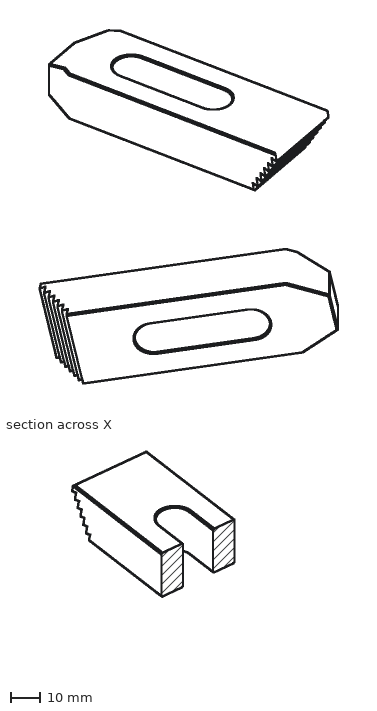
import cadquery as cq
import math

length = 100.0
width = 32.0
height = 19.0

taper_angle = math.radians(30)
nose_width = 16.0
nose_height = 13.0

edge_break = 0.5
heel_round = 1.0
mouth_angle = 45

slot_width = 13.0
slot_length = 47.0
slot_center_x = 46.0

tooth_count = 6
tooth_pitch_z = 2.7
row_angle = math.radians(30)
steep_flank_angle = math.radians(10)
undercut_angle = math.radians(15)
first_tip_z = 16.0

half_width = width / 2
half_nose = nose_width / 2
side_taper_length = (half_width - half_nose) / math.tan(taper_angle)
top_taper_length = (height - nose_height) / math.tan(taper_angle)

tooth_pitch_x = tooth_pitch_z * math.tan(row_angle)

steep_slope = math.tan(steep_flank_angle)
undercut_slope = math.tan(undercut_angle)
tooth_depth = (tooth_pitch_x + tooth_pitch_z * steep_slope) / (1 - undercut_slope * steep_slope)

slab_size = 4 * length

taper_sin = math.sin(taper_angle)
taper_cos = math.cos(taper_angle)
top = (cq.Vector(0, 0, 1), cq.Vector(0, 0, height))
bottom = (cq.Vector(0, 0, -1), cq.Vector(0, 0, 0))
nose = (cq.Vector(-1, 0, 0), cq.Vector(0, 0, 0))
nose_slope = (cq.Vector(-taper_sin, 0, taper_cos), cq.Vector(0, 0, nose_height))


def side_face(side):
    """Long side wall; side is +1 or -1 for the +Y or -Y wall."""
    return cq.Vector(0, side, 0), cq.Vector(0, side * half_width, 0)


def taper_face(side):
    """Angled side flat of the nose."""
    return cq.Vector(-taper_sin, side * taper_cos, 0), cq.Vector(0, side * half_nose, 0)


def make_block():
    """Plan outline with the tapered nose, cut by the sloped top of the nose."""
    plan = [
        (0, -half_nose),
        (side_taper_length, -half_width),
        (length, -half_width),
        (length, half_width),
        (side_taper_length, half_width),
        (0, half_nose),
    ]
    block = cq.Workplane("XY").polyline(plan).close().extrude(height)
    slope = [(0, nose_height), (top_taper_length, height), (0, height)]
    wedge = cq.Workplane("XZ").polyline(slope).close().extrude(half_width, both=True)
    return block.cut(wedge)


def chamfer_between(body, first, second):
    """Slice off the convex edge where two flat faces meet, square to their bisector."""
    normal_sum = first[0] + second[0]
    normal = normal_sum.normalized()
    half_turn = first[0].getAngle(second[0]) / 2
    setback = edge_break * math.tan(half_turn)
    edge_distance = (first[0].dot(first[1]) + second[0].dot(second[1])) / normal_sum.Length
    cut_distance = edge_distance - setback * math.sin(half_turn)
    plane = cq.Plane(origin=normal * cut_distance, normal=normal)
    slab = cq.Workplane(plane).rect(slab_size, slab_size).extrude(slab_size)
    return body.cut(slab)


def chamfer_outer_edges(body):
    """Break every outer edge except those of the heel."""
    edges = [(top, nose_slope), (nose_slope, nose), (nose, bottom)]
    for side in (1, -1):
        wall = side_face(side)
        taper = taper_face(side)
        edges += [(top, wall), (bottom, wall), (top, taper), (bottom, taper)]
        edges += [(wall, taper), (taper, nose), (taper, nose_slope)]
    for first, second in edges:
        body = chamfer_between(body, first, second)
    return body


def tooth_points():
    """Alternating tips and roots of the heel, from the top tip downward."""
    points = []
    for index in range(tooth_count):
        tip_x = length - index * tooth_pitch_x
        tip_z = first_tip_z - index * tooth_pitch_z
        root_x = tip_x - tooth_depth
        root_z = tip_z + tooth_depth * undercut_slope
        points += [(tip_x, tip_z), (root_x, root_z)]
    return points


def cut_heel(body):
    """Keep only the material inside the sawtooth side profile, rounded at its top corner."""
    teeth = tooth_points()
    last_x, last_z = teeth[-1]
    top_x = length - (height - first_tip_z) * steep_slope
    bottom_x = last_x + last_z * steep_slope
    profile = [(0, 0), (0, height), (top_x, height)] + teeth + [(bottom_x, 0)]
    kept = cq.Workplane("XZ").polyline(profile).close().extrude(half_width, both=True)
    kept = kept.faces(">Z").edges(">X").fillet(heel_round)
    return body.intersect(kept)


def cut_slot(body):
    """Obround slot straight through the block, chamfered at both mouths."""
    slot = cq.Workplane("XY").center(slot_center_x, 0).slot2D(slot_length, slot_width).extrude(height)
    mouth_length = slot_length + 2 * edge_break
    mouth_width = slot_width + 2 * edge_break
    body = body.cut(slot)
    for plane_z, inward in ((height, -1), (0, 1)):
        mouth = (
            cq.Workplane("XY", origin=(slot_center_x, 0, plane_z))
            .slot2D(mouth_length, mouth_width)
            .extrude(inward * edge_break, taper=mouth_angle)
        )
        body = body.cut(mouth)
    return body


result = cut_slot(cut_heel(chamfer_outer_edges(make_block())))